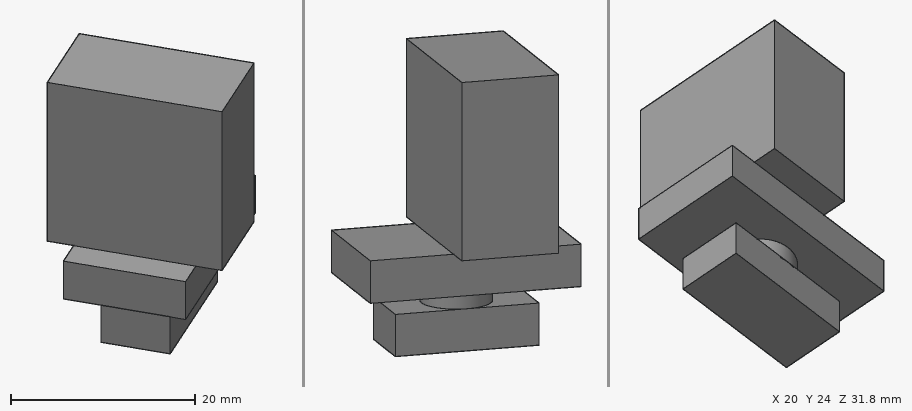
import cadquery as cq

foot_width = 7.92
foot_length = 16.38
foot_height = 4.75

neck_diameter = foot_width
neck_height = 2.3

plate_width = 14.0
plate_length = 24.0
plate_height = 4.77

block_width = 20.0
block_length = 11.05
block_height = 20.0
block_offset_y = -3.0

neck_base = foot_height
plate_base = neck_base + neck_height
block_base = plate_base + plate_height


def box_at(width, length, height, base, offset_y=0):
    """Box centred in X, standing on the level `base`."""
    box = cq.Workplane("XY").box(width, length, height, centered=(True, True, False))
    return box.translate((0, offset_y, base))


foot = box_at(foot_width, foot_length, foot_height, 0)
neck = cq.Workplane("XY").workplane(offset=neck_base).circle(neck_diameter / 2).extrude(neck_height)
plate = box_at(plate_width, plate_length, plate_height, plate_base)
block = box_at(block_width, block_length, block_height, block_base, block_offset_y)

result = foot.union(neck).union(plate).union(block)